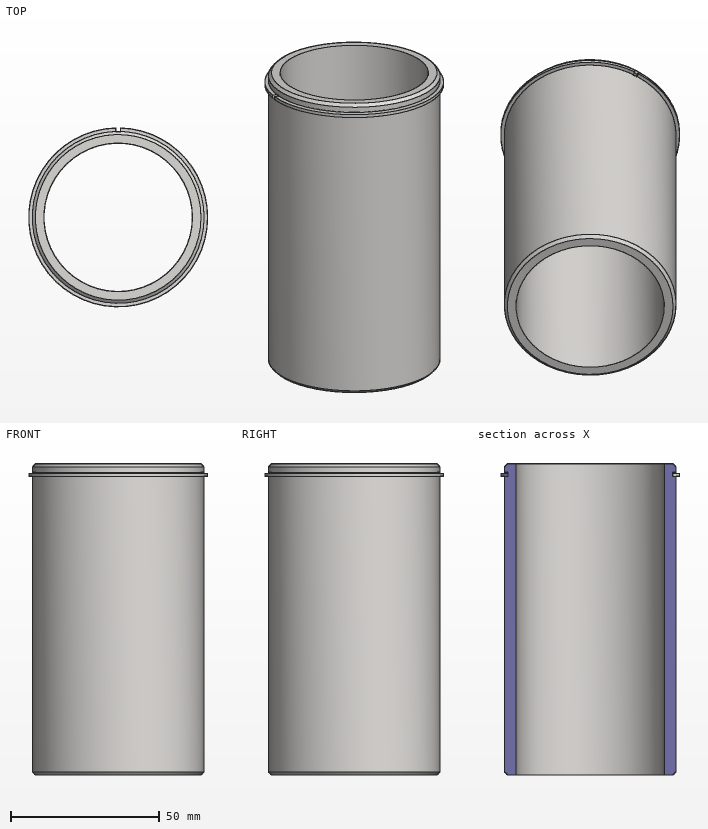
import cadquery as cq

LENGTH = 105.0
SLEEVE_DIAMETER = 58.0
BORE_DIAMETER = 50.0
END_CHAMFER = 1.0

RING_DIAMETER = 60.4
RING_THICKNESS = 1.0
RING_TOP_DEPTH = 3.3
RING_GAP = 1.5
GROOVE_DEPTH = 1.0
GROOVE_CLEARANCE = 0.3

groove_diameter = SLEEVE_DIAMETER - 2 * GROOVE_DEPTH
ring_bottom = LENGTH - RING_TOP_DEPTH - RING_THICKNESS
groove_height = RING_THICKNESS + GROOVE_CLEARANCE


def annulus(outer_diameter, inner_diameter, bottom, height):
    """Flat-ended ring centred on the Z axis."""
    return (
        cq.Workplane("XY", origin=(0, 0, bottom))
        .circle(outer_diameter / 2)
        .circle(inner_diameter / 2)
        .extrude(height)
    )


def make_sleeve():
    """Bored tube with chamfered outer ends and a retaining ring groove."""
    blank = cq.Workplane("XY").circle(SLEEVE_DIAMETER / 2).extrude(LENGTH)
    blank = blank.faces("<Z or >Z").chamfer(END_CHAMFER)
    bore = cq.Workplane("XY").circle(BORE_DIAMETER / 2).extrude(LENGTH)
    groove = annulus(RING_DIAMETER, groove_diameter, ring_bottom, groove_height)
    return blank.cut(bore).cut(groove)


def make_retaining_ring():
    """Ring seated on the groove floor, with a parallel-sided gap toward +Y."""
    ring = annulus(RING_DIAMETER, groove_diameter, ring_bottom, RING_THICKNESS)
    gap = cq.Workplane("XY", origin=(0, 0, ring_bottom)).box(
        RING_GAP, RING_DIAMETER, RING_THICKNESS, centered=(True, False, False)
    )
    return ring.cut(gap)


sleeve = make_sleeve()
retaining_ring = make_retaining_ring()

result = cq.Compound.makeCompound([sleeve.val(), retaining_ring.val()])